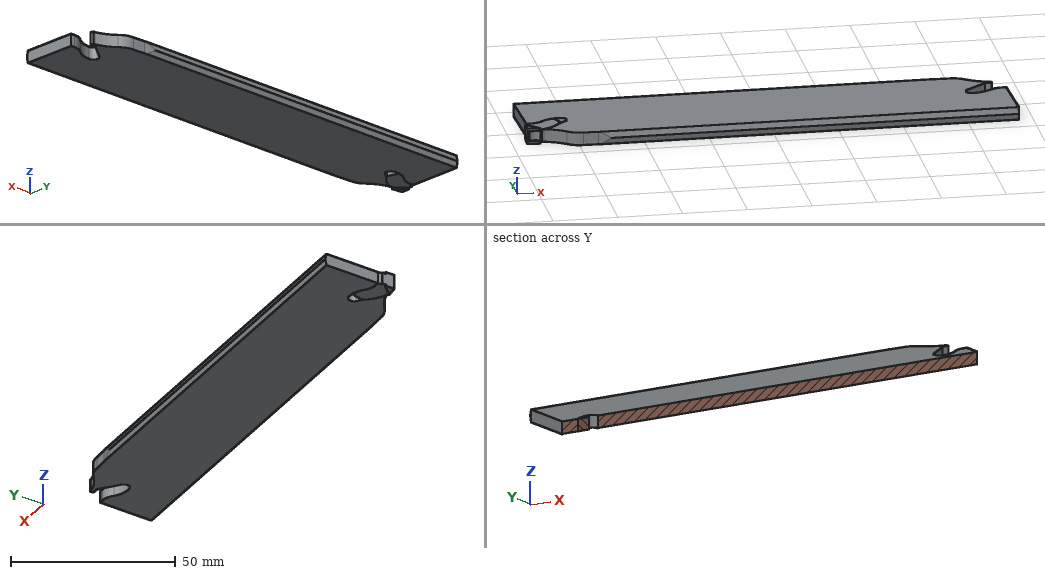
import cadquery as cq

LENGTH = 150.8
WIDTH = 30.6
BLADE_THICKNESS = 4.0
TIP_THICKNESS = 5.0

half_length = LENGTH / 2
half_width = WIDTH / 2

BEVEL_DEPTH = 0.5

LIP_X = 74.8
LIP_Y = 3.8
NOSE_START_X = 50.4
JAW_TIP_X = 71.2
JAW_TOP_Y = 9.6
JAW_BOTTOM_Y = 8.5
POCKET_END_X = 62.7
POCKET_END_Y = 3.5

SEAT_INNER = (63.9, 0.2)
SEAT_HOLLOW = (67.0, 0.8)
SEAT_MIDDLE = (69.3, 2.1)
SEAT_CREST = (71.2, 3.3)
SEAT_OUTER = (73.3, LIP_Y)

TIP_FRONT_BOTTOM_Y = -9.3
TIP_REAR_BOTTOM_Y = -9.8
TIP_REAR_X = -71.5
TIP_TOP_Y = -6.3
FRONT_STEP_Y = -5.1
FRONT_X = -74.9
GROOVE_RADIUS = 2.4
GROOVE_DEPTH = 0.5
GROOVE_WIDTH = 3.2
GROOVE_X = -73.3


def turned(x, y):
    """Place a +X end point at the matching spot on the -X end."""
    return (-x, -y)


def same(x, y):
    """Keep a +X end point where it is."""
    return (x, y)


def draw_end(outline, place):
    """Continue the outline around one nose, jaw, pocket and end face."""
    return (
        outline.lineTo(*place(NOSE_START_X, half_width))
        .lineTo(*place(54.4, 14.8))
        .lineTo(*place(59.0, 14.6))
        .threePointArc(place(61.7, 14.2), place(63.8, 12.8))
        .threePointArc(place(66.8, 10.9), place(70.2, JAW_TOP_Y))
        .lineTo(*place(JAW_TIP_X - 0.2, JAW_TOP_Y))
        .lineTo(*place(JAW_TIP_X, JAW_BOTTOM_Y))
        .lineTo(*place(69.0, JAW_BOTTOM_Y))
        .lineTo(*place(POCKET_END_X, POCKET_END_Y))
        .threePointArc(place(62.1, 1.4), place(*SEAT_INNER))
        .threePointArc(place(*SEAT_HOLLOW), place(*SEAT_MIDDLE))
        .threePointArc(place(*SEAT_CREST), place(*SEAT_OUTER))
        .lineTo(*place(LIP_X, LIP_Y))
        .lineTo(*place(half_length, -half_width))
    )


def make_edge_envelope():
    """Hexagonal bar that gives both long edges their V shape."""
    half_thickness = BLADE_THICKNESS / 2
    face_y = half_width - BEVEL_DEPTH
    return (
        cq.Workplane("YZ")
        .polyline([
            (-half_width, 0),
            (-face_y, half_thickness),
            (face_y, half_thickness),
            (half_width, 0),
            (face_y, -half_thickness),
            (-face_y, -half_thickness),
        ])
        .close()
        .extrude(half_length, both=True)
    )


def make_blade(insert):
    """Blade with the same nose at both ends and a seat for the insert."""
    outline = cq.Workplane("XY").moveTo(-half_length, half_width)
    outline = draw_end(outline, same)
    outline = draw_end(outline, turned)
    blade = outline.close().extrude(BLADE_THICKNESS / 2, both=True)
    return blade.intersect(make_edge_envelope()).cut(insert)


def make_insert_body():
    """Shank of the insert, its upper edge following the pocket."""
    return (
        cq.Workplane("XY")
        .moveTo(-half_length, TIP_FRONT_BOTTOM_Y)
        .lineTo(-half_length, FRONT_STEP_Y)
        .lineTo(FRONT_X, FRONT_STEP_Y)
        .lineTo(-LIP_X, -LIP_Y)
        .lineTo(*turned(*SEAT_OUTER))
        .threePointArc(turned(*SEAT_CREST), turned(*SEAT_MIDDLE))
        .threePointArc((-67.7, -1.0), turned(*SEAT_HOLLOW))
        .lineTo(-65.7, -0.5)
        .lineTo(-65.0, -2.0)
        .lineTo(-64.4, -4.4)
        .threePointArc((-67.2, -7.7), (TIP_REAR_X, TIP_REAR_BOTTOM_Y))
        .close()
        .extrude(BLADE_THICKNESS / 2, both=True)
    )


def make_cutting_tip():
    """Wider wedge that carries the cutting edge."""
    return (
        cq.Workplane("XY")
        .polyline([
            (-half_length, TIP_FRONT_BOTTOM_Y),
            (-half_length, TIP_TOP_Y),
            (FRONT_X, TIP_TOP_Y),
            (TIP_REAR_X, TIP_REAR_BOTTOM_Y),
        ])
        .close()
        .extrude(TIP_THICKNESS / 2, both=True)
    )


def make_chip_groove():
    """Round trough between the two side lands of the cutting tip."""
    axis_y = TIP_FRONT_BOTTOM_Y + GROOVE_DEPTH - GROOVE_RADIUS
    return (
        cq.Workplane("XY")
        .center(GROOVE_X, axis_y)
        .circle(GROOVE_RADIUS)
        .extrude(GROOVE_WIDTH / 2, both=True)
    )


def make_insert():
    """Complete cutting insert as one solid."""
    return make_insert_body().union(make_cutting_tip()).cut(make_chip_groove())


insert = make_insert()
blade = make_blade(insert)

result = cq.Compound.makeCompound([blade.solids().val(), insert.solids().val()])